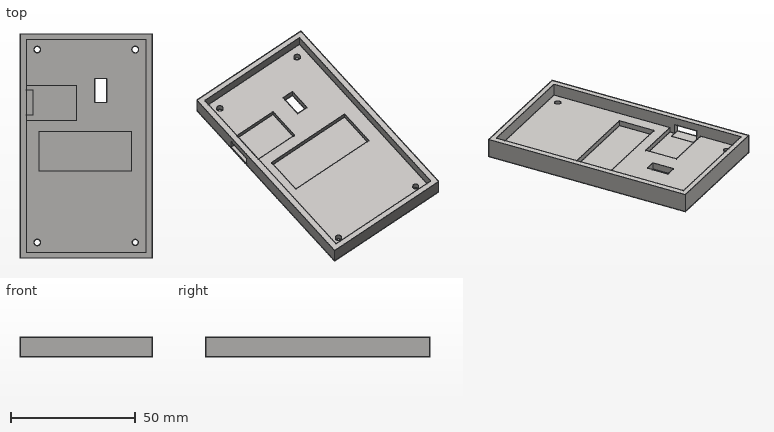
import cadquery as cq

width = 53.0
length = 90.0
height = 8.0
side_wall = 2.4
end_wall = 2.2
floor_top = 3.0

back_left_diameter = 2.5
back_right_diameter = 2.6
front_left_diameter = 2.5
front_right_diameter = 2.3
hole_side_inset = 6.8
hole_end_inset = 6.3

switch_left = 30.0
switch_width = 4.7
switch_start = 18.0
switch_length = 9.45

module_right = 22.7
module_start = 20.7
module_length = 14.0

display_left = 7.5
display_width = 37.2
display_start = 39.2
display_length = 15.8

module_floor = 0.9
display_floor = 0.7

window_depth = 5.0
window_start = 22.5
window_length = 10.1
window_bottom = 0.855
window_top = 4.9


def block(left, start, x_size, y_size, bottom, top):
    """Box placed by its distances from the -X side and the +Y end."""
    corner = (left - width / 2, length / 2 - start - y_size, bottom)
    return cq.Workplane("XY").box(x_size, y_size, top - bottom, centered=False).translate(corner)


tray = block(0, 0, width, length, 0, height)
cavity = block(
    side_wall, end_wall, width - 2 * side_wall, length - 2 * end_wall, floor_top, height
)
result = tray.cut(cavity)

hole_x = width / 2 - hole_side_inset
hole_y = length / 2 - hole_end_inset
corner_holes = [
    (-hole_x, hole_y, back_left_diameter),
    (hole_x, hole_y, back_right_diameter),
    (-hole_x, -hole_y, front_left_diameter),
    (hole_x, -hole_y, front_right_diameter),
]
for x, y, diameter in corner_holes:
    result = result.cut(cq.Workplane("XY").center(x, y).circle(diameter / 2).extrude(floor_top))

result = result.cut(block(switch_left, switch_start, switch_width, switch_length, 0, floor_top))

module_width = module_right - side_wall
result = result.cut(
    block(side_wall, module_start, module_width, module_length, module_floor, floor_top)
)

result = result.cut(
    block(display_left, display_start, display_width, display_length, display_floor, floor_top)
)

result = result.cut(
    block(0, window_start, window_depth, window_length, window_bottom, window_top)
)